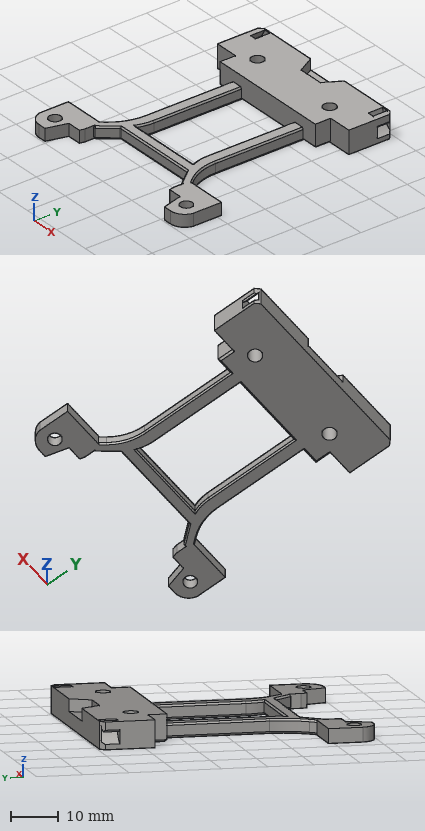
import cadquery as cq
import math

length = 59.1
width = 52.9
block_height = 5.95
frame_height = 3.2
bevel_height = 0.5
bevel_inset = 0.3

head_half = 22.7
head_front = 47.35
neck_half = 16.45
neck_front = 43.25
neck_bottom_chamfer = 0.5
corner_chamfer = 1.0
head_hole_diameter = 3.2
head_hole_x = 12.45
head_hole_y = 50.1

notch_rear_half = 5.8
notch_front_half = 3.3
notch_depth = 4.45
notch_floor = 3.25

tunnel_rear = length - 0.35
tunnel_width = 3.8
tunnel_top_near = 1.55
tunnel_top_far = 3.2
tunnel_side_high = 4.2
tunnel_side_low = 1.2
tunnel_wall_radius = 6.2
tunnel_lip_inset = 0.3
tunnel_lip_height = 3.8

leg_width = 3.2
leg_inner = 9.05
leg_outer = leg_inner + leg_width
bend_start = 20.05
bend_angle = 39.0
bend_inner_radius = 11.35
bend_outer_radius = 12.7
strut_end_y = 8.85
crossbar_front = 13.05
crossbar_width = 2.85

foot_outer = width / 2
foot_inner = 15.3
foot_rear = 10.7
foot_step_y = 5.25
foot_step_inner = 15.6
foot_step_outer = 19.2
foot_tip_inner = 20.6
foot_corner_start = 6.55
foot_arc_width = 3.8
foot_arc_depth = 3.2
foot_hole_diameter = 3.1
foot_hole_x = 22.7
foot_hole_y = 4.25


def both_sides(shape):
    """Join a shape on the +X side with its mirror image on the -X side."""
    return shape.union(shape.mirror("YZ"))


def drill(x, y, diameter):
    return cq.Workplane("XY").center(x, y).circle(diameter / 2).extrude(block_height)


def make_head():
    head_depth = length - head_front
    head = (
        cq.Workplane("XY")
        .box(2 * head_half, head_depth, block_height, centered=(True, False, False))
        .translate((0, head_front, 0))
        .edges("|Z and >Y")
        .chamfer(corner_chamfer)
    )
    neck = (
        cq.Workplane("XY")
        .box(2 * neck_half, head_front - neck_front, block_height, centered=(True, False, False))
        .translate((0, neck_front, 0))
    )
    neck = neck.faces("<Z").edges("|Y or <Y").chamfer(neck_bottom_chamfer)
    return head.union(neck)


def make_notch():
    return (
        cq.Workplane("XY", origin=(0, 0, notch_floor))
        .moveTo(-notch_rear_half, length)
        .lineTo(-notch_front_half, length - notch_depth)
        .lineTo(notch_front_half, length - notch_depth)
        .lineTo(notch_rear_half, length)
        .close()
        .extrude(block_height - notch_floor)
    )


def make_tunnel():
    return (
        cq.Workplane("XZ", origin=(0, tunnel_rear, 0))
        .moveTo(head_half - tunnel_top_near, block_height)
        .lineTo(head_half - tunnel_lip_inset, tunnel_lip_height)
        .lineTo(head_half, tunnel_side_high)
        .lineTo(head_half, tunnel_side_low)
        .radiusArc((head_half - tunnel_top_far, block_height), tunnel_wall_radius)
        .close()
        .extrude(tunnel_width)
    )


def beveled_bar(outline):
    """Extrude an outline to the frame height, with bevels around its top and bottom."""
    taper = math.degrees(math.atan(bevel_inset / bevel_height))
    core_height = frame_height - 2 * bevel_height
    core = outline.extrude(core_height).translate((0, 0, bevel_height))
    bevel = outline.toPending().extrude(bevel_height, combine=False, taper=taper)
    top = bevel.translate((0, 0, frame_height - bevel_height))
    bottom = bevel.mirror("XY").translate((0, 0, bevel_height))
    return core.union(top).union(bottom)


def bend_end(edge_x, radius):
    """Point where an edge of the leg leaves its bend and runs straight to the foot."""
    angle = math.radians(bend_angle)
    return edge_x + radius * (1 - math.cos(angle)), bend_start - radius * math.sin(angle)


def strut_end(bend_point):
    """Point inside the foot where a straight strut edge ends."""
    x, y = bend_point
    return x + (y - strut_end_y) * math.tan(math.radians(bend_angle)), strut_end_y


def make_leg():
    """Leg that runs forward from the head, bends outward and tapers down to a strut."""
    inner_bend = bend_end(leg_inner, bend_inner_radius)
    outer_bend = bend_end(leg_outer, bend_outer_radius)
    outline = (
        cq.Workplane("XY")
        .moveTo(leg_inner, head_front)
        .lineTo(leg_inner, bend_start)
        .radiusArc(inner_bend, -bend_inner_radius)
        .lineTo(*strut_end(inner_bend))
        .lineTo(*strut_end(outer_bend))
        .lineTo(*outer_bend)
        .radiusArc((leg_outer, bend_start), bend_outer_radius)
        .lineTo(leg_outer, head_front)
        .close()
    )
    return beveled_bar(outline)


def make_crossbar():
    outline = (
        cq.Workplane("XY")
        .center(0, crossbar_front + crossbar_width / 2)
        .rect(2 * leg_outer, crossbar_width)
    )
    return beveled_bar(outline)


def make_foot():
    return (
        cq.Workplane("XY")
        .moveTo(foot_inner, foot_rear)
        .lineTo(foot_inner, foot_corner_start)
        .lineTo(foot_step_inner, foot_step_y)
        .lineTo(foot_step_outer, foot_step_y)
        .lineTo(foot_tip_inner, 0)
        .lineTo(foot_outer - foot_arc_width, 0)
        .tangentArcPoint((foot_outer, foot_arc_depth), relative=False)
        .lineTo(foot_outer, foot_rear)
        .close()
        .extrude(frame_height)
    )


result = make_head().union(make_crossbar())
result = result.union(both_sides(make_leg())).union(both_sides(make_foot()))
result = result.cut(make_notch()).cut(both_sides(make_tunnel()))
result = result.cut(both_sides(drill(head_hole_x, head_hole_y, head_hole_diameter)))
result = result.cut(both_sides(drill(foot_hole_x, foot_hole_y, foot_hole_diameter)))